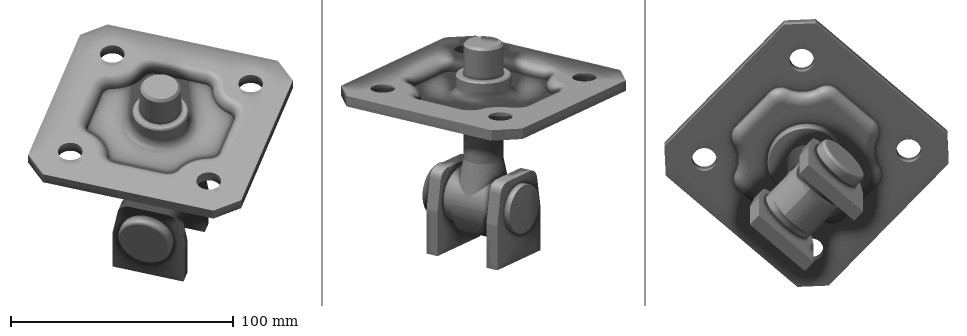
import cadquery as cq
import math

TOTAL_HEIGHT = 100.0
PIN_AXIS_Z = 25.0

PLATE_SIDE = 100.0
PLATE_THICKNESS = 5.0
PLATE_CORNER_CHAMFER = 10.0
PLATE_TOP_Z = 80.5
PLATE_BOTTOM_Z = PLATE_TOP_Z - PLATE_THICKNESS
MOUNT_HOLE_DIAMETER = 11.0
MOUNT_HOLE_SPACING = 65.0

PAN_DEPTH = PLATE_THICKNESS
PAN_HALF_WIDTH = 35.9
PAN_STRAIGHT_HALF_LENGTH = 11.3
PAN_CORNER_RADIUS = 10.0
PAN_SCALLOP_CENTER = MOUNT_HOLE_SPACING / 2
PAN_RIM_RADIUS = PLATE_THICKNESS
PAN_OUTSIDE_INSET = 3.0
PAN_OUTSIDE_RADIUS = PAN_DEPTH
PAN_BOTTOM_Z = PLATE_BOTTOM_Z - PAN_DEPTH
ROUNDING_SPARE = 1.0

COLLAR_RADIUS = 12.5
COLLAR_TOP_Z = PLATE_TOP_Z + 4.6
COLLAR_FOOT_RADIUS = 4.0
COLLAR_CHAMFER = 0.6

WASHER_RADIUS = 17.5
WASHER_THICKNESS = 5.0
WASHER_CHAMFER = 0.6

STEM_RADIUS = 9.0
STEM_CHAMFER = 1.1
FLARE_TOP_Z = 45.0
FLARE_BOTTOM_Z = 30.0
FLARE_ANGLE = 12.0
BARREL_RADIUS = 13.2
BARREL_LENGTH = 25.0
PAD_LENGTH = 17.4
PAD_SIDE_RADIUS = 18.4
PAD_BOTTOM_RADIUS = 15.8
PAD_EDGE_DROP = 15.0

SPACER_RADIUS = 12.5
SPACER_THICKNESS = 0.8
LUG_CLEARANCE = 0.2

LUG_WIDTH = 33.4
LUG_HEIGHT = 40.0
LUG_THICKNESS = 6.0
LUG_SHOULDER_Z = 21.1
LUG_SHOULDER_RADIUS = 3.5
LUG_TAPER_ANGLE = 10.0
LUG_CORNER_RADIUS = 5.5
LUG_INNER_Y = BARREL_LENGTH / 2 + SPACER_THICKNESS + LUG_CLEARANCE
LUG_OUTER_Y = LUG_INNER_Y + LUG_THICKNESS

PIN_RADIUS = 9.0
PIN_HEAD_RADIUS = 12.5
PIN_HEAD_THICKNESS = 6.0
PIN_HEAD_FILLET = 1.5
RIVET_RADIUS = 11.4
RIVET_THICKNESS = 3.0
RIVET_DOME_HEIGHT = 1.2


def upright_cylinder(radius, bottom_z, top_z):
    return cq.Workplane("XY", origin=(0, 0, bottom_z)).circle(radius).extrude(top_z - bottom_z)


def pin_axis_cylinder(radius, start_y, end_y):
    """Cylinder on the pin axis from start_y to the larger end_y."""
    plane = cq.Workplane("XZ", origin=(0, start_y, PIN_AXIS_Z))
    return plane.circle(radius).extrude(start_y - end_y)


def pan_outline(inset, bottom_z):
    """Four-sided outline with rounded corners and a scallop beside each mounting hole."""
    half_width = PAN_HALF_WIDTH - inset
    corner_radius = PAN_CORNER_RADIUS - inset
    near = PAN_STRAIGHT_HALF_LENGTH
    far = half_width - corner_radius
    run = PAN_SCALLOP_CENTER - near
    rise = PAN_SCALLOP_CENTER - far
    scallop_radius = math.hypot(run, rise) - corner_radius
    tangent_angle = math.atan2(rise, run)
    middle_angle = (tangent_angle + math.pi / 2) / 2

    def on_corner(angle):
        return near + corner_radius * math.cos(angle), far + corner_radius * math.sin(angle)

    def mirrored(point):
        return point[1], point[0]

    scallop_middle = PAN_SCALLOP_CENTER - scallop_radius * math.sqrt(0.5)
    quadrant = [
        (half_width, near),
        mirrored(on_corner(middle_angle)),
        mirrored(on_corner(tangent_angle)),
        (scallop_middle, scallop_middle),
        on_corner(tangent_angle),
        on_corner(middle_angle),
        (near, half_width),
    ]

    outline = cq.Workplane("XY", origin=(0, 0, bottom_z)).moveTo(half_width, -near)
    for _ in range(4):
        outline = outline.lineTo(*quadrant[0])
        for middle, end in zip(quadrant[1::2], quadrant[2::2]):
            outline = outline.threePointArc(middle, end)
        quadrant = [(-y, x) for x, y in quadrant]
    return outline.close()


def plate_blank(bottom_z, top_z):
    return (
        cq.Workplane("XY", origin=(0, 0, bottom_z))
        .rect(PLATE_SIDE, PLATE_SIDE)
        .extrude(top_z - bottom_z)
    )


def make_sheet():
    """Flat sheet whose central opening is rounded over its full thickness."""
    rough_bottom_z = PLATE_BOTTOM_Z - ROUNDING_SPARE
    opening = pan_outline(PAN_RIM_RADIUS, rough_bottom_z).extrude(PLATE_TOP_Z - rough_bottom_z)
    sheet = plate_blank(rough_bottom_z, PLATE_TOP_Z).edges("|Z").chamfer(PLATE_CORNER_CHAMFER)
    sheet = sheet.cut(opening)
    rim_edges = sheet.faces(">Z").val().innerWires()[0].Edges()
    sheet = sheet.newObject(rim_edges).fillet(PAN_RIM_RADIUS)
    return sheet.cut(plate_blank(rough_bottom_z, PLATE_BOTTOM_Z))


def make_pan_floor():
    """Pan floor below the sheet, rounded underneath over its full depth."""
    rough_top_z = PLATE_BOTTOM_Z + ROUNDING_SPARE
    pan_floor = pan_outline(PAN_OUTSIDE_INSET, PAN_BOTTOM_Z).extrude(rough_top_z - PAN_BOTTOM_Z)
    pan_floor = pan_floor.faces("<Z").edges().fillet(PAN_OUTSIDE_RADIUS)
    return pan_floor.cut(plate_blank(PLATE_BOTTOM_Z, rough_top_z))


def make_collar():
    """Solid collar with a concave foot that runs into the pan floor."""
    foot_radius = COLLAR_RADIUS + COLLAR_FOOT_RADIUS
    foot_top_z = PLATE_BOTTOM_Z + COLLAR_FOOT_RADIUS
    foot_arc_inset = COLLAR_FOOT_RADIUS * (1 - math.sqrt(0.5))
    return (
        cq.Workplane("XZ")
        .moveTo(0, PLATE_BOTTOM_Z)
        .lineTo(foot_radius, PLATE_BOTTOM_Z)
        .threePointArc(
            (COLLAR_RADIUS + foot_arc_inset, PLATE_BOTTOM_Z + foot_arc_inset),
            (COLLAR_RADIUS, foot_top_z),
        )
        .lineTo(COLLAR_RADIUS, COLLAR_TOP_Z - COLLAR_CHAMFER)
        .lineTo(COLLAR_RADIUS - COLLAR_CHAMFER, COLLAR_TOP_Z)
        .lineTo(0, COLLAR_TOP_Z)
        .close()
        .revolve(360, (0, 0, 0), (0, 1, 0))
    )


def make_plate():
    mount_holes = (
        cq.Workplane("XY", origin=(0, 0, PLATE_BOTTOM_Z))
        .rect(MOUNT_HOLE_SPACING, MOUNT_HOLE_SPACING, forConstruction=True)
        .vertices()
        .circle(MOUNT_HOLE_DIAMETER / 2)
        .extrude(PLATE_THICKNESS)
    )
    stem_hole = upright_cylinder(STEM_RADIUS, PAN_BOTTOM_Z, COLLAR_TOP_Z)
    blank = make_sheet().union(make_pan_floor()).union(make_collar())
    return blank.cut(mount_holes).cut(stem_hole)


def make_washer():
    bottom_z = PAN_BOTTOM_Z - WASHER_THICKNESS
    disc = upright_cylinder(WASHER_RADIUS, bottom_z, PAN_BOTTOM_Z).edges().chamfer(WASHER_CHAMFER)
    return disc.cut(upright_cylinder(STEM_RADIUS, bottom_z, PAN_BOTTOM_Z))


def make_pad():
    """Thickening under the barrel; its sides leave the barrel tangentially at axis height."""
    side_center_x = PAD_SIDE_RADIUS - BARREL_RADIUS
    edge_x = math.sqrt(PAD_SIDE_RADIUS**2 - PAD_EDGE_DROP**2) - side_center_x
    middle_angle = math.asin(PAD_EDGE_DROP / PAD_SIDE_RADIUS) / 2
    middle_x = PAD_SIDE_RADIUS * math.cos(middle_angle) - side_center_x
    middle_drop = PAD_SIDE_RADIUS * math.sin(middle_angle)
    return (
        cq.Workplane("XZ", origin=(0, PAD_LENGTH / 2, PIN_AXIS_Z))
        .moveTo(-BARREL_RADIUS, 0)
        .threePointArc((-middle_x, -middle_drop), (-edge_x, -PAD_EDGE_DROP))
        .threePointArc((0, -PAD_BOTTOM_RADIUS), (edge_x, -PAD_EDGE_DROP))
        .threePointArc((middle_x, -middle_drop), (BARREL_RADIUS, 0))
        .close()
        .extrude(PAD_LENGTH)
    )


def make_eye_bolt():
    stem = upright_cylinder(STEM_RADIUS, FLARE_BOTTOM_Z, TOTAL_HEIGHT).faces(">Z").chamfer(STEM_CHAMFER)
    flare_height = FLARE_TOP_Z - FLARE_BOTTOM_Z
    flare_radius = STEM_RADIUS + flare_height * math.tan(math.radians(FLARE_ANGLE))
    flare = cq.Workplane(
        cq.Solid.makeCone(flare_radius, STEM_RADIUS, flare_height, cq.Vector(0, 0, FLARE_BOTTOM_Z))
    )
    barrel = pin_axis_cylinder(BARREL_RADIUS, -BARREL_LENGTH / 2, BARREL_LENGTH / 2)
    pin_hole = pin_axis_cylinder(PIN_RADIUS, -BARREL_LENGTH / 2, BARREL_LENGTH / 2)
    return barrel.union(flare).union(stem).union(make_pad()).cut(pin_hole)


def make_spacer(side):
    """Thin ring on the pin, against the end of the barrel; side is -1 or +1 along Y."""
    inner_y = side * BARREL_LENGTH / 2
    outer_y = inner_y + side * SPACER_THICKNESS
    start_y, end_y = sorted((inner_y, outer_y))
    ring = pin_axis_cylinder(SPACER_RADIUS, start_y, end_y)
    return ring.cut(pin_axis_cylinder(PIN_RADIUS, start_y, end_y))


def make_lug(side):
    """Tapered plate that holds one end of the pin; side is -1 or +1 along Y."""
    start_y, end_y = sorted((side * LUG_INNER_Y, side * LUG_OUTER_Y))
    half_width = LUG_WIDTH / 2
    taper_height = LUG_HEIGHT - LUG_SHOULDER_Z
    top_half_width = half_width - taper_height * math.tan(math.radians(LUG_TAPER_ANGLE))
    shoulder_zone = (
        (-LUG_WIDTH, -LUG_OUTER_Y, LUG_SHOULDER_Z - LUG_SHOULDER_RADIUS),
        (LUG_WIDTH, LUG_OUTER_Y, LUG_SHOULDER_Z + LUG_SHOULDER_RADIUS),
    )
    lug = (
        cq.Workplane("XZ", origin=(0, end_y, 0))
        .polyline([
            (-half_width, 0),
            (half_width, 0),
            (half_width, LUG_SHOULDER_Z),
            (top_half_width, LUG_HEIGHT),
            (-top_half_width, LUG_HEIGHT),
            (-half_width, LUG_SHOULDER_Z),
        ])
        .close()
        .extrude(LUG_THICKNESS)
        .edges("|Y and >Z")
        .fillet(LUG_CORNER_RADIUS)
        .edges("|Y")
        .edges(cq.selectors.BoxSelector(*shoulder_zone))
        .fillet(LUG_SHOULDER_RADIUS)
    )
    return lug.cut(pin_axis_cylinder(PIN_RADIUS, start_y, end_y))


def make_pin():
    shaft = pin_axis_cylinder(PIN_RADIUS, -LUG_OUTER_Y, LUG_OUTER_Y)
    head = pin_axis_cylinder(PIN_HEAD_RADIUS, -LUG_OUTER_Y - PIN_HEAD_THICKNESS, -LUG_OUTER_Y)
    head = head.edges().fillet(PIN_HEAD_FILLET)

    rim_y = LUG_OUTER_Y + RIVET_THICKNESS
    crown_y = rim_y + RIVET_DOME_HEIGHT
    dome_radius = (RIVET_RADIUS**2 + RIVET_DOME_HEIGHT**2) / (2 * RIVET_DOME_HEIGHT)
    middle_x = RIVET_RADIUS / 2
    middle_y = crown_y - dome_radius + math.sqrt(dome_radius**2 - middle_x**2)
    rivet = (
        cq.Workplane("XY", origin=(0, 0, PIN_AXIS_Z))
        .moveTo(0, LUG_OUTER_Y)
        .lineTo(RIVET_RADIUS, LUG_OUTER_Y)
        .lineTo(RIVET_RADIUS, rim_y)
        .threePointArc((middle_x, middle_y), (0, crown_y))
        .close()
        .revolve(360, (0, 0, 0), (0, 1, 0))
    )
    return shaft.union(head).union(rivet)


plate = make_plate()
washer = make_washer()
eye_bolt = make_eye_bolt()
pin = make_pin()
lugs = [make_lug(side) for side in (-1, 1)]
spacers = [make_spacer(side) for side in (-1, 1)]

result = cq.Compound.makeCompound(
    [body.val() for body in (plate, washer, eye_bolt, pin, *lugs, *spacers)]
)